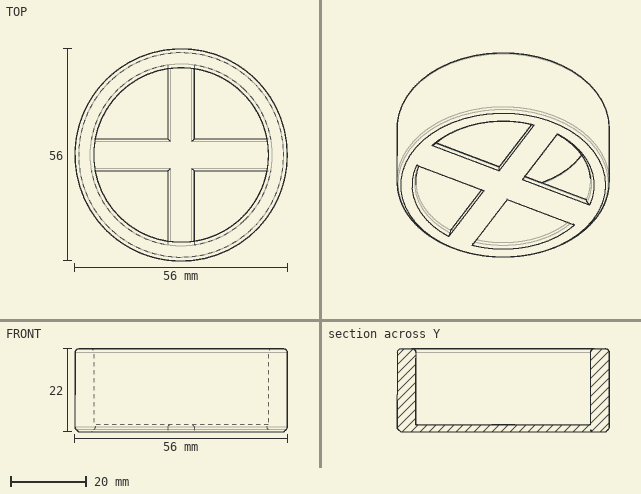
import cadquery as cq

OUTER_DIAMETER = 56.0
BORE_DIAMETER = 46.0
HEIGHT = 22.0
RIM_FILLET = 1.0
BASE_CHAMFER = 1.0
BASE_BLEND_RADIUS = 1.0

CROSS_THICKNESS = 2.0
X_BAR_WIDTH = 8.5
Y_BAR_WIDTH = 7.0
CROSS_FILLET = 0.7


def make_ring():
    """Tube with filleted top edges and blended chamfers below, standing on Z = 0."""
    ring = cq.Workplane("XY").circle(OUTER_DIAMETER / 2).circle(BORE_DIAMETER / 2).extrude(HEIGHT)
    ring = ring.faces(">Z").edges().fillet(RIM_FILLET)
    ring = ring.faces("<Z").edges().chamfer(BASE_CHAMFER)
    chamfer_tops = ring.edges("%CIRCLE").filter(
        lambda edge: abs(edge.Center().z - BASE_CHAMFER) < BASE_CHAMFER / 2
    )
    return chamfer_tops.fillet(BASE_BLEND_RADIUS)


def make_cross():
    """Two crossing bars with rounded top edges, trimmed to end inside the ring wall."""
    bar_length = OUTER_DIAMETER
    x_bar = cq.Workplane("XY").rect(bar_length, X_BAR_WIDTH).extrude(CROSS_THICKNESS)
    y_bar = cq.Workplane("XY").rect(Y_BAR_WIDTH, bar_length).extrude(CROSS_THICKNESS)
    cross = x_bar.union(y_bar).faces(">Z").edges().fillet(CROSS_FILLET)
    reach_radius = BORE_DIAMETER / 2 + BASE_CHAMFER
    reach = cq.Workplane("XY").circle(reach_radius).extrude(CROSS_THICKNESS)
    return cross.intersect(reach)


result = make_ring().union(make_cross())